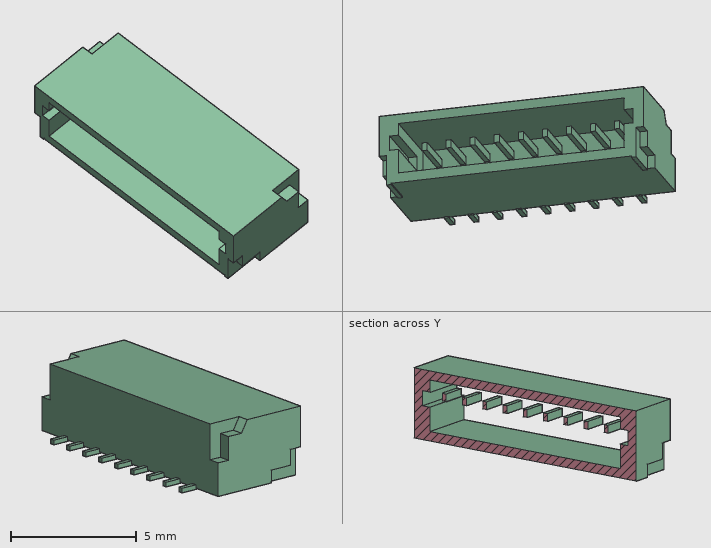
import cadquery as cq
import math

length = 11.0
overall_depth = 4.95
overall_height = 2.96
standoff = 0.05
lead_overhang = 0.7
housing_depth = overall_depth - lead_overhang
housing_height = overall_height - standoff

end_wall = 0.8
roof_wall = 0.4
floor_wall = 0.41
back_wall = 1.0
cavity_depth = housing_depth - back_wall
cavity_length = length - 2 * end_wall
cavity_height = housing_height - roof_wall - floor_wall

groove_height = 0.6
groove_drop = 0.89
groove_wall = 0.44
groove_depth = 2.5

notch_width = 0.51
notch_rear_depth = 0.53
notch_rear_drop = 1.5
notch_shelf_depth = 1.2
notch_shelf_drop = 0.51
notch_top_depth = 1.5

recess_width = 0.31
recess_long = 1.51
recess_short = 0.52
recess_step_height = 0.54
recess_full_height = 1.2
tab_thickness = 0.2

contact_count = 9
contact_pitch = length / 11
contact_width = 0.21
contact_drop = 0.82
tip_height = 0.33
tip_reach = 1.98
bend_drop = 0.14
bend_angle = 68.0
lead_height = 0.2
lead_root = 0.09


def box(x_min, x_max, y_min, y_max, z_min, z_max):
    size = (x_max - x_min, y_max - y_min, z_max - z_min)
    return cq.Workplane("XY").box(*size, centered=False).translate((x_min, y_min, z_min))


def side_profile(points, x_min, width):
    """Extrude a (Y, Z) outline along +X, starting at x_min."""
    return cq.Workplane("YZ", origin=(x_min, 0, 0)).polyline(points).close().extrude(width)


def on_both_ends(left_solid):
    return left_solid.union(left_solid.mirror("YZ"))


def make_housing():
    half = length / 2
    return box(-half, half, 0, housing_depth, standoff, overall_height)


def make_cavity():
    half = cavity_length / 2
    z_min = standoff + floor_wall
    cavity = box(-half, half, 0, cavity_depth, z_min, z_min + cavity_height)
    groove_half = length / 2 - groove_wall
    groove_top = overall_height - groove_drop
    groove = box(-groove_half, groove_half, 0, groove_depth, groove_top - groove_height, groove_top)
    return cavity.union(groove)


def make_rear_notches():
    rear = housing_depth
    top = overall_height
    outline = [
        (rear, top),
        (rear, top - notch_rear_drop),
        (rear - notch_rear_depth, top - notch_rear_drop),
        (rear - notch_rear_depth, top - notch_shelf_drop),
        (rear - notch_shelf_depth, top - notch_shelf_drop),
        (rear - notch_top_depth, top),
    ]
    return on_both_ends(side_profile(outline, -length / 2, notch_width))


def recess_outline(bottom):
    step_z = standoff + recess_step_height
    top_z = standoff + recess_full_height
    return [
        (0, bottom),
        (recess_long, bottom),
        (recess_long, step_z),
        (recess_short, step_z),
        (recess_short, top_z),
        (0, top_z),
    ]


def make_tab_recesses():
    return on_both_ends(side_profile(recess_outline(standoff), -length / 2, recess_width))


def make_solder_tabs():
    return on_both_ends(side_profile(recess_outline(0), -length / 2 + recess_width, tab_thickness))


def make_contact(x_center):
    x_min = x_center - contact_width / 2
    tip_top = overall_height - contact_drop
    tip_bottom = tip_top - tip_height
    tip_y = cavity_depth - tip_reach
    bend_run = bend_drop / math.tan(math.radians(bend_angle))
    blade_outline = [
        (tip_y, tip_bottom),
        (tip_y, tip_top),
        (cavity_depth, tip_top),
        (cavity_depth, tip_bottom - bend_drop),
        (cavity_depth - bend_run, tip_bottom),
    ]
    blade = side_profile(blade_outline, x_min, contact_width)
    lead = box(
        x_min, x_min + contact_width, housing_depth - lead_root, overall_depth, 0, lead_height
    )
    return blade.union(lead)


result = make_housing()
result = result.cut(make_cavity())
result = result.cut(make_rear_notches())
result = result.cut(make_tab_recesses())
result = result.union(make_solder_tabs())
for index in range(contact_count):
    x_contact = (index - (contact_count - 1) / 2) * contact_pitch
    result = result.union(make_contact(x_contact))